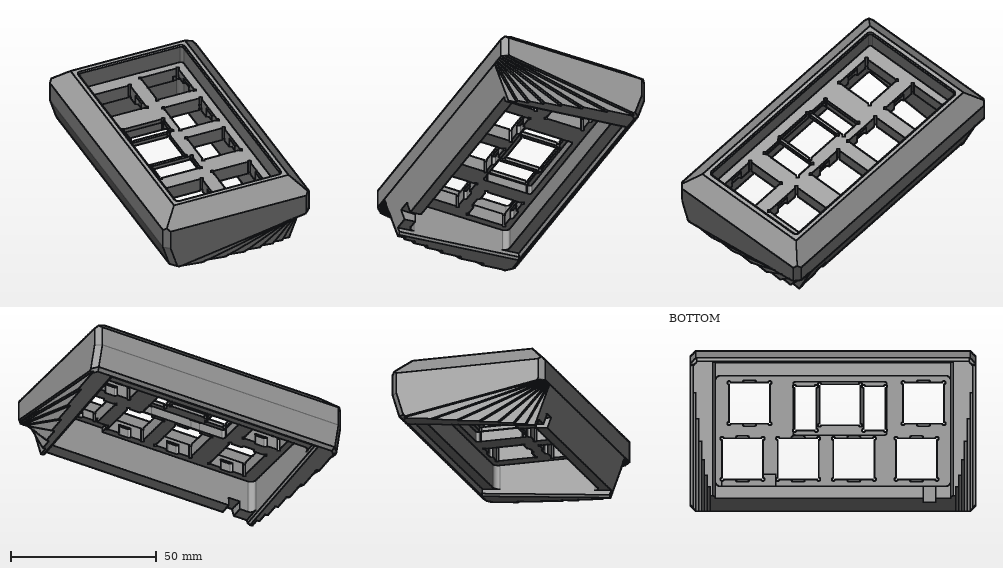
import cadquery as cq
import math


LENGTH = 97.9
WIDTH = 55.0
HEIGHT = 27.3
TOP_Z = 13.2
TOP_BEVEL = 6.0
CORNER_BEVEL = 2.0
FRONT_TOE_BEVEL = 1.0
FRONT_LEAN = math.radians(73)
BOTTOM_TILT = math.radians(6.4)

TERRACE_ANGLES = (9.8, 14.0, 19.4, 26.6, 35.6, 47.0, 58.6)
TERRACE_STEP = 1.0
REAR_LEAN = math.radians(69.4)

POCKET_LENGTH = 81.7
POCKET_WIDTH = 39.2
POCKET_DEPTH = 7.0
POCKET_RADIUS = 1.0
POCKET_BEVEL = 0.5

PLATE_THICKNESS = 5.0
CLIP_THICKNESS = 1.5
KEY_PITCH = 19.1
KEY_SIZE = 14.0
RELIEF_DIAMETER = 1.1
NOTCH_RADIUS = 0.73
CLIP_NOTCH_LENGTH = 4.7
CLIP_NOTCH_DEPTH = 0.9
STABILIZER_SPACING = 23.7
STABILIZER_LENGTH = 7.4
STABILIZER_WIDTH = 15.1
STABILIZER_Y = -7.7
WIDE_KEY_Y = -9.0
UNDERCUT_MARGIN_X = 0.5
UNDERCUT_MARGIN_Y = 1.6

CAVITY_LENGTH = 80.9
CAVITY_WIDTH = 38.0
CAVITY_RADIUS = 2.0
BASE_RECESS_DEPTH = 2.35
BASE_RECESS_BEVEL = 0.8
BASE_RECESS_FRONT_Y = -23.6
CABLE_SLOT_X = 33.1
CABLE_SLOT_WIDTH = 4.4
CABLE_SLOT_TOP_Z = -8.2
RELIEF_POCKET_FRONT_Y = 14.8
RELIEF_POCKET_LEFT_X = -38.2
RELIEF_POCKET_RIGHT_X = -19.6
RELIEF_POCKET_DEPTH = 1.7

REAR_Y = WIDTH / 2
FRONT_Y = -WIDTH / 2
BOTTOM_Z = TOP_Z - HEIGHT
HEEL_Y = REAR_Y + BOTTOM_Z / math.tan(REAR_LEAN)
FLOOR_Z = TOP_Z - POCKET_DEPTH
PLATE_BOTTOM_Z = FLOOR_Z - PLATE_THICKNESS
CLIP_Z = FLOOR_Z - CLIP_THICKNESS
KEY_ROW_Y = KEY_PITCH / 2
REAR_KEYS_X = [KEY_PITCH * units for units in (-1.625, -0.625, 0.375, 1.5)]
FRONT_KEYS_X = [KEY_PITCH * units for units in (-1.5, 1.625)]
WIDE_KEY_X = KEY_PITCH / 8
CLEARANCE = 1.0


def block(x_range, y_range, z_range):
    """Axis-aligned block between the given limits."""
    sizes = [high - low for low, high in (x_range, y_range, z_range)]
    corner = (x_range[0], y_range[0], z_range[0])
    return cq.Workplane("XY").box(*sizes, centered=False).translate(corner)


def shell():
    """Solid wedge-shaped case with bevelled top, corners and front toe."""
    bottom_slope = math.tan(BOTTOM_TILT)
    toe_run = (-BOTTOM_Z - (HEEL_Y - FRONT_Y) * bottom_slope) / (math.tan(FRONT_LEAN) - bottom_slope)
    toe = (FRONT_Y + toe_run, -toe_run * math.tan(FRONT_LEAN))
    outline = [
        (FRONT_Y, TOP_Z),
        (REAR_Y, TOP_Z),
        (REAR_Y, 0),
        (HEEL_Y, BOTTOM_Z),
        toe,
        (FRONT_Y, 0),
    ]
    wedge = cq.Workplane("YZ").polyline(outline).close().extrude(LENGTH / 2, both=True)
    corners = wedge.faces("<X or >X").edges().filter(lambda edge: abs(edge.Center().y) > WIDTH / 4)
    wedge = wedge.newObject(corners.vals()).chamfer(CORNER_BEVEL)
    bottom_edges = wedge.faces("<Z").edges()
    toe_edges = bottom_edges.filter(lambda edge: edge.Center().y < FRONT_Y / 2)
    wedge = wedge.newObject(toe_edges.vals()).chamfer(FRONT_TOE_BEVEL)
    hood = block((-LENGTH / 2, LENGTH / 2), (FRONT_Y, REAR_Y), (BOTTOM_Z, TOP_Z))
    hood = hood.faces(">Z").edges().chamfer(TOP_BEVEL)
    return wedge.intersect(hood)


def terrace_cutters():
    """Material below each terrace, on both sides; all terraces fan out from the lower back edge."""
    cutters = cq.Workplane("XY")
    reach = 2 * WIDTH
    for index, angle in enumerate(TERRACE_ANGLES):
        slope = math.radians(angle)
        far_point = (REAR_Y - reach * math.cos(slope), -reach * math.sin(slope))
        below = [(REAR_Y, 0), far_point, (far_point[0], -reach), (REAR_Y, -reach)]
        inner_x = LENGTH / 2 - (index + 1) * TERRACE_STEP
        outer_x = LENGTH / 2 - index * TERRACE_STEP
        strip = cq.Workplane("YZ").polyline(below).close().extrude(outer_x - inner_x)
        cutters = cutters.add(strip.translate((inner_x, 0, 0)))
        cutters = cutters.add(strip.translate((-outer_x, 0, 0)))
    return cutters.combine()


def pocket():
    """Rounded top pocket down to the switch plate, with a bevelled rim."""
    body = block(
        (-POCKET_LENGTH / 2, POCKET_LENGTH / 2),
        (-POCKET_WIDTH / 2, POCKET_WIDTH / 2),
        (FLOOR_Z, TOP_Z),
    )
    body = body.edges("|Z").fillet(POCKET_RADIUS)
    bevel = (
        cq.Workplane("XY", origin=(0, 0, TOP_Z))
        .sketch()
        .rect(POCKET_LENGTH + 2 * POCKET_BEVEL, POCKET_WIDTH + 2 * POCKET_BEVEL)
        .vertices()
        .fillet(POCKET_RADIUS + POCKET_BEVEL)
        .finalize()
        .extrude(-POCKET_BEVEL, taper=45)
    )
    return body.union(bevel)


def relieved_window(x, y, length, width):
    """Rectangular window through the plate with round reliefs at its corners."""
    window = block(
        (x - length / 2, x + length / 2),
        (y - width / 2, y + width / 2),
        (PLATE_BOTTOM_Z - CLEARANCE, FLOOR_Z),
    )
    reliefs = (
        cq.Workplane("XY", origin=(x, y, FLOOR_Z))
        .rect(length, width, forConstruction=True)
        .vertices()
        .circle(RELIEF_DIAMETER / 2)
        .extrude(PLATE_BOTTOM_Z - CLEARANCE - FLOOR_Z)
    )
    return window.union(reliefs)


def key_window(x, y):
    """Switch window with clip notches under its front and back edges."""
    reach = KEY_SIZE / 2 + CLIP_NOTCH_DEPTH
    notch = block(
        (x - CLIP_NOTCH_LENGTH / 2, x + CLIP_NOTCH_LENGTH / 2),
        (y - reach, y + reach),
        (PLATE_BOTTOM_Z - CLEARANCE, CLIP_Z),
    )
    notch = notch.edges("|Z").fillet(NOTCH_RADIUS)
    return relieved_window(x, y, KEY_SIZE, KEY_SIZE).union(notch)


def wide_key_windows():
    """Wide key: a switch window between two stabilizer windows, over a common undercut."""
    cutter = relieved_window(WIDE_KEY_X, WIDE_KEY_Y, KEY_SIZE, KEY_SIZE)
    for side in (-1, 1):
        x = WIDE_KEY_X + side * STABILIZER_SPACING / 2
        cutter = cutter.union(relieved_window(x, STABILIZER_Y, STABILIZER_LENGTH, STABILIZER_WIDTH))
    half_length = (STABILIZER_SPACING + STABILIZER_LENGTH) / 2 + UNDERCUT_MARGIN_X
    half_width = STABILIZER_WIDTH / 2 + UNDERCUT_MARGIN_Y
    undercut = block(
        (WIDE_KEY_X - half_length, WIDE_KEY_X + half_length),
        (STABILIZER_Y - half_width, STABILIZER_Y + half_width),
        (PLATE_BOTTOM_Z - CLEARANCE, CLIP_Z),
    )
    return cutter.union(undercut.edges("|Z").fillet(NOTCH_RADIUS))


def cavity():
    """Rounded cavity below the plate, with a relief in the plate at its left back corner."""
    body = block(
        (-CAVITY_LENGTH / 2, CAVITY_LENGTH / 2),
        (-CAVITY_WIDTH / 2, CAVITY_WIDTH / 2),
        (BOTTOM_Z - CLEARANCE, PLATE_BOTTOM_Z),
    )
    relief = block(
        (RELIEF_POCKET_LEFT_X, RELIEF_POCKET_RIGHT_X),
        (RELIEF_POCKET_FRONT_Y, CAVITY_WIDTH / 2),
        (PLATE_BOTTOM_Z, PLATE_BOTTOM_Z + RELIEF_POCKET_DEPTH),
    )
    return body.edges("|Z").fillet(CAVITY_RADIUS).union(relief)


def base_recess():
    """Bevelled channel along the tilted bottom, running out through the back wall."""
    half = CAVITY_LENGTH / 2
    wide = half + BASE_RECESS_BEVEL
    section = [
        (-half, BASE_RECESS_DEPTH),
        (half, BASE_RECESS_DEPTH),
        (half, BASE_RECESS_BEVEL),
        (wide, 0),
        (wide, -CLEARANCE),
        (-wide, -CLEARANCE),
        (-wide, 0),
        (-half, BASE_RECESS_BEVEL),
    ]
    run_out = WIDTH / 4
    forward = (HEEL_Y - BASE_RECESS_FRONT_Y) / math.cos(BOTTOM_TILT)
    channel = cq.Workplane("XZ").polyline(section).close().extrude(forward + run_out)
    channel = channel.translate((0, run_out, 0))
    channel = channel.rotate((0, 0, 0), (1, 0, 0), -math.degrees(BOTTOM_TILT))
    return channel.translate((0, HEEL_Y, BOTTOM_Z))


def cable_slot():
    """Notch in the lower edge of the back wall."""
    return block(
        (CABLE_SLOT_X - CABLE_SLOT_WIDTH / 2, CABLE_SLOT_X + CABLE_SLOT_WIDTH / 2),
        (0, REAR_Y),
        (BOTTOM_Z, CABLE_SLOT_TOP_Z),
    )


case = shell().cut(terrace_cutters()).cut(pocket()).cut(cavity()).cut(base_recess()).cut(cable_slot())
for key_x in REAR_KEYS_X:
    case = case.cut(key_window(key_x, KEY_ROW_Y))
for key_x in FRONT_KEYS_X:
    case = case.cut(key_window(key_x, -KEY_ROW_Y))
result = case.cut(wide_key_windows())